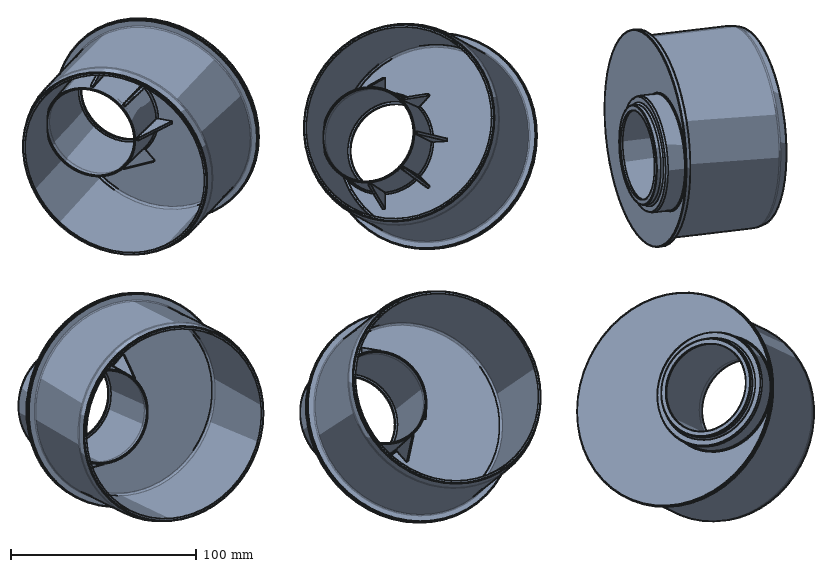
import cadquery as cq
import math

total_length = 76.0

spigot_diameter = 110.2
spigot_bore = 104.8
spigot_tip_diameter = 108.0
tip_taper_length = 4.1
tip_break_length = 1.1
tip_break_inset = 0.1
tip_edge_chamfer = 0.5
flange_diameter = 118.2
flange_start = 58.0
flange_end = 60.8
flange_edge_chamfer = 0.4
flange_root_fillet = 0.6
floor_position = 58.5
floor_fillet = 1.2

socket_offset = -27.0
boss_diameter = 63.5
boss_root_chamfer = 0.6
boss_end = 72.3
boss_chamfer_width = 0.5
boss_chamfer_length = 1.3
neck_diameter = 54.4
neck_root_fillet = 1.1
neck_edge_chamfer = 0.4

collar_start = 30.5
collar_rim_diameter = 52.5
collar_root_diameter = 54.1
collar_root_fillet = 1.0
bore_mouth_diameter = 50.8
bore_diameter = 51.2
bore_flare_length = 3.5
lip_diameter = 48.6
lip_thickness = 1.2

gusset_thickness = 1.5
gusset_reach = 35.9
gusset_height = 26.0
gusset_angles = (-90, -45, 0, 45, 90)


def turned(points, centre_x=0.0):
    """Revolve (radius, y) points about an axis parallel to Y."""
    profile = cq.Workplane("XY").polyline(points).close()
    return profile.revolve(360, (0, 0, 0), (0, 1, 0)).translate((centre_x, 0, 0))


def spigot_and_flange():
    outer = spigot_diameter / 2
    inner = spigot_bore / 2
    tip = spigot_tip_diameter / 2
    rim = flange_diameter / 2
    fillet_side = floor_fillet * math.sqrt(0.5)
    root_side = flange_root_fillet * math.sqrt(0.5)
    profile = (
        cq.Workplane("XY")
        .moveTo(0, floor_position)
        .lineTo(inner - floor_fillet, floor_position)
        .threePointArc(
            (inner - floor_fillet + fillet_side, floor_position - floor_fillet + fillet_side),
            (inner, floor_position - floor_fillet),
        )
        .lineTo(inner, 0)
        .lineTo(tip - tip_edge_chamfer, 0)
        .lineTo(tip, tip_edge_chamfer)
        .lineTo(outer - tip_break_inset, tip_taper_length)
        .lineTo(outer, tip_taper_length + tip_break_length)
        .lineTo(outer, flange_start - flange_root_fillet)
        .threePointArc(
            (outer + flange_root_fillet - root_side, flange_start - flange_root_fillet + root_side),
            (outer + flange_root_fillet, flange_start),
        )
        .lineTo(rim - flange_edge_chamfer, flange_start)
        .lineTo(rim, flange_start + flange_edge_chamfer)
        .lineTo(rim, flange_end - flange_edge_chamfer)
        .lineTo(rim - flange_edge_chamfer, flange_end)
        .lineTo(0, flange_end)
        .close()
    )
    return profile.revolve(360, (0, 0, 0), (0, 1, 0))


def boss_and_neck():
    boss = boss_diameter / 2
    neck = neck_diameter / 2
    shape = turned(
        [
            (0, floor_position),
            (boss, floor_position),
            (boss, flange_end - boss_root_chamfer),
            (boss + boss_root_chamfer, flange_end),
            (boss, flange_end + boss_root_chamfer),
            (boss, boss_end - boss_chamfer_length),
            (boss - boss_chamfer_width, boss_end),
            (neck + neck_root_fillet, boss_end),
            (neck, boss_end + neck_root_fillet),
            (neck, total_length - neck_edge_chamfer),
            (neck - neck_edge_chamfer, total_length),
            (0, total_length),
        ],
        socket_offset,
    )
    flange_radius = flange_diameter / 2
    envelope = turned([(0, 0), (flange_radius, 0), (flange_radius, total_length), (0, total_length)])
    return shape.intersect(envelope)


def collar():
    root = collar_root_diameter / 2
    return turned(
        [
            (0, collar_start),
            (collar_rim_diameter / 2, collar_start),
            (root, floor_position - collar_root_fillet),
            (root + collar_root_fillet, floor_position),
            (root + collar_root_fillet, flange_end),
            (0, flange_end),
        ],
        socket_offset,
    )


def gusset(angle):
    root = bore_diameter / 2
    crest = collar_root_diameter / 2
    return (
        cq.Workplane("XY")
        .polyline(
            [
                (root, flange_end),
                (root, floor_position - gusset_height),
                (crest, floor_position - gusset_height),
                (gusset_reach, floor_position),
                (gusset_reach, flange_end),
            ]
        )
        .close()
        .extrude(gusset_thickness / 2, both=True)
        .rotate((0, 0, 0), (0, 1, 0), angle)
        .translate((socket_offset, 0, 0))
    )


def passage():
    bore = bore_diameter / 2
    lip = lip_diameter / 2
    return turned(
        [
            (0, collar_start),
            (bore_mouth_diameter / 2, collar_start),
            (bore, collar_start + bore_flare_length),
            (bore, total_length - lip_thickness),
            (lip, total_length - lip_thickness),
            (lip, total_length),
            (0, total_length),
        ],
        socket_offset,
    )


body = spigot_and_flange().union(boss_and_neck()).union(collar())
for gusset_angle in gusset_angles:
    body = body.union(gusset(gusset_angle))
result = body.cut(passage())